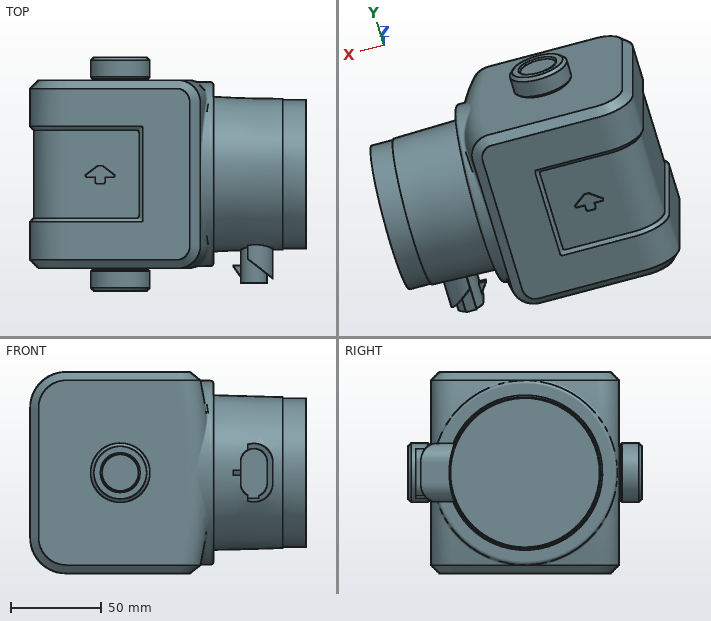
import cadquery as cq
import math


housing_width = 104.5
housing_height = 112.0
housing_half_width = housing_width / 2
housing_half_height = housing_height / 2
housing_length = 100.1
dome_radius = 242.2
rear_corner_radius = 20.1
front_corner_radius = 12.4
rim_chamfer = 4.8
flange_radius = 51.2
flange_end = 102.0
flange_rounding = 1.8
flange_root_radius = 1.2

band_depth = 2.0
band_slope = 2.1
band_floor_half_width = 24.4
band_floor_end = 60.5
band_corner_radius = 1.8
arrow_center_x = 39.0
arrow_height = 0.8
arrow_nose_half_width = 1.2
arrow_half_width = 8.3
arrow_stem_half_width = 2.8
arrow_wing_bevel = 0.6
arrow_tail_bevel = 0.8
arrow_tip_y = 4.8
arrow_wing_y = -0.6
arrow_shoulder_y = -1.7
arrow_tail_y = -5.4

neck_root_radius = 43.1
neck_tip_radius = 42.0
neck_end = 140.4
cap_radius = 41.4
overall_length = 153.3
latch_x = 124.3
latch_width = 14.7
latch_height = 26.7
latch_reach = 60.5
latch_root = 36.8
collar_side_thickness = 3.2
collar_end_thickness = 2.9
collar_rear_offset = 3.4
collar_rear = latch_x - collar_rear_offset
collar_low_reach = 47.0
collar_high_reach = 58.0
foot_length = 6.1
foot_drop = 0.9
barb_thickness = 2.9
barb_length = 4.1
barb_near = 50.6
barb_far = 57.0
barb_tip_land = 0.6

knob_x = 50.1
knob_diameter = 33.0
knob_radius = knob_diameter / 2
knob_gap = 0.8
knob_end = 65.0
knob_stem_radius = 14.4
knob_outer_chamfer = 1.8
knob_inner_chamfer = 0.9
dish_radius = 11.0
dish_floor_radius = 10.1
dish_depth = 0.9


def is_rim_edge(edge):
    """True for the edges that border the two Y faces and the front of the top and bottom."""
    center = edge.Center()
    on_front = center.x > housing_length - 2 * front_corner_radius
    on_middle = abs(center.y) < housing_half_width / 2
    if on_front:
        return abs(center.z) > housing_half_height / 2
    return not on_middle


def housing_block():
    """Rounded block whose front is a shallow dome curved about Y, with a chamfered rim."""
    h = housing_half_height
    r = rear_corner_radius
    diagonal = r * (1 - math.sqrt(0.5))
    dome_edge_x = housing_length - dome_radius + math.sqrt(dome_radius**2 - h**2)
    block = (
        cq.Workplane("XZ", origin=(0, housing_half_width, 0))
        .moveTo(0, h - r)
        .threePointArc((diagonal, h - diagonal), (r, h))
        .lineTo(dome_edge_x, h)
        .threePointArc((housing_length, 0), (dome_edge_x, -h))
        .lineTo(r, -h)
        .threePointArc((diagonal, diagonal - h), (0, r - h))
        .close()
        .extrude(2 * housing_half_width)
    )
    block = block.faces("|Y").edges(">X").fillet(front_corner_radius)

    rim = [edge for edge in block.edges().vals() if is_rim_edge(edge)]
    return cq.Workplane(block.val().chamfer(rim_chamfer, None, rim))


def outline_with_inset(inset):
    """Rounded XZ rectangle set in from the housing; its front end lies beyond the housing."""
    height = 2 * (housing_half_height - inset)
    length = 2 * housing_length
    return (
        cq.Sketch()
        .push([(inset + length / 2, 0)])
        .rect(length, height)
        .reset()
        .vertices()
        .fillet(rear_corner_radius - inset)
    )


def xz_plane(y):
    """XZ plane at the given Y that faces -Y, with its own x along +X."""
    return cq.Plane(origin=(0, y, 0), xDir=(1, 0, 0), normal=(0, -1, 0))


def band_core():
    """Material left under the band: a straight core that flares out to the surface on both sides."""
    floor = outline_with_inset(band_depth)
    surface = outline_with_inset(0)
    core = (
        cq.Workplane(xz_plane(band_floor_half_width))
        .placeSketch(floor)
        .extrude(2 * band_floor_half_width)
    )
    flare = (
        cq.Workplane(xz_plane(-band_floor_half_width))
        .placeSketch(floor, surface.moved(cq.Location(cq.Vector(0, 0, band_slope))))
        .loft()
    )
    return core.union(flare).union(flare.mirror("XZ"))


def band_cutter():
    """Shallow recess around the rear of the housing with sloping borders."""
    half_width = band_floor_half_width + band_slope
    floor_z = housing_half_height - band_depth
    top_z = housing_half_height
    rear_x = -band_depth
    surface_end = band_floor_end + band_slope
    cutter = (
        cq.Workplane("XZ", origin=(0, half_width, 0))
        .polyline([
            (rear_x, top_z),
            (surface_end, top_z),
            (band_floor_end, floor_z),
            (band_floor_end, -floor_z),
            (surface_end, -top_z),
            (rear_x, -top_z),
        ])
        .close()
        .extrude(2 * half_width)
    )
    cutter = cutter.cut(band_core())
    corner_edges = cq.selectors.BoxSelector(
        (band_floor_end - band_slope, -2 * half_width, -2 * top_z),
        (surface_end + band_slope, 2 * half_width, 2 * top_z),
    )
    return cutter.edges(corner_edges).edges("not (|X or |Y)").fillet(band_corner_radius)


def arrow():
    """Raised arrow that points to +Y, standing on the band floor."""
    right_side = [
        (arrow_nose_half_width, arrow_tip_y),
        (arrow_half_width, arrow_wing_y),
        (arrow_half_width - arrow_wing_bevel, arrow_shoulder_y),
        (arrow_stem_half_width, arrow_shoulder_y),
        (arrow_stem_half_width, arrow_tail_y + arrow_tail_bevel),
        (arrow_stem_half_width - arrow_tail_bevel, arrow_tail_y),
    ]
    points = right_side + [(-x, y) for x, y in reversed(right_side)]
    return (
        cq.Workplane("XY", origin=(arrow_center_x, 0, housing_half_height - band_depth))
        .polyline(points)
        .close()
        .extrude(arrow_height)
    )


def front_flange():
    """Round flange that grows out of the domed front."""
    start = housing_length / 2
    return (
        cq.Workplane("YZ", origin=(start, 0, 0))
        .circle(flange_radius)
        .extrude(flange_end - start)
        .faces(">X")
        .edges()
        .fillet(flange_rounding)
    )


def is_flange_root(edge):
    """True for edges on the flange surface where it meets the domed front."""
    tolerance = 0.02
    points = [edge.positionAt(fraction) for fraction in (0, 0.3, 0.7, 1)]
    on_flange = all(abs(math.hypot(p.y, p.z) - flange_radius) < tolerance for p in points)
    behind_rounding = all(p.x < flange_end - flange_rounding - tolerance for p in points)
    at_front = all(p.x > housing_length - front_corner_radius for p in points)
    return on_flange and behind_rounding and at_front


def make_housing():
    """Block and flange with a rounded joint, the band recess and an arrow on top and bottom."""
    body = housing_block().union(front_flange())
    root = [edge for edge in body.edges().vals() if is_flange_root(edge)]
    body = cq.Workplane(body.val().fillet(flange_root_radius, root))
    top_arrow = arrow()
    return (
        body
        .cut(band_cutter())
        .union(top_arrow)
        .union(top_arrow.mirror("XY"))
    )


def rounded_pillar(width, height):
    """Pillar with an upright slot-shaped section that stands along -Y on the neck."""
    return (
        cq.Workplane(xz_plane(-latch_root))
        .center(latch_x, 0)
        .slot2D(height, width, 90)
        .extrude(latch_reach - latch_root)
    )


def latch():
    """Upright rounded pad on the -Y side of the neck, with a slanted collar, a foot and a barb."""
    pad = rounded_pillar(latch_width, latch_height)
    collar_width = latch_width + 2 * collar_side_thickness
    collar_height = latch_height + 2 * collar_end_thickness
    collar_front = latch_x + collar_width / 2
    collar = rounded_pillar(collar_width, collar_height)
    collar_side = (
        cq.Workplane("XY", origin=(0, 0, -latch_height))
        .polyline([
            (collar_rear, -latch_root),
            (collar_rear, -collar_low_reach),
            (collar_front, -collar_high_reach),
            (collar_front, -latch_root),
        ])
        .close()
        .extrude(2 * latch_height)
    )
    foot_height = latch_height / 2 + foot_drop
    foot = (
        cq.Workplane("XY")
        .box(foot_length, latch_reach - latch_root, foot_height, centered=(False, False, False))
        .translate((collar_rear, -latch_reach, -foot_height))
    )
    barb_root = latch_x - latch_width / 2
    barb = (
        cq.Workplane("XY", origin=(0, 0, -barb_thickness / 2))
        .polyline([
            (latch_x, -barb_near),
            (barb_root - barb_length, -barb_near),
            (barb_root - barb_length, -barb_near - barb_tip_land),
            (barb_root, -barb_far),
            (latch_x, -barb_far),
        ])
        .close()
        .extrude(barb_thickness)
    )
    return pad.union(collar.intersect(collar_side)).union(foot).union(barb)


def make_neck():
    """Slightly tapered round neck in front of the flange, with its latch."""
    taper = (
        cq.Workplane("XZ")
        .polyline([
            (flange_end, 0),
            (flange_end, neck_root_radius),
            (neck_end, neck_tip_radius),
            (neck_end, 0),
        ])
        .close()
        .revolve(360, (0, 0, 0), (1, 0, 0))
    )
    return taper.union(latch())


def make_end_cap():
    """Plain round disc on the tip of the neck."""
    thickness = overall_length - neck_end
    return cq.Workplane("YZ", origin=(neck_end, 0, 0)).circle(cap_radius).extrude(thickness)


def make_knob(side):
    """Dished round knob on a short stem against the Y face given by side (1 or -1)."""
    inner_y = housing_half_width + knob_gap
    profile = [
        (0, housing_half_width),
        (knob_stem_radius, housing_half_width),
        (knob_stem_radius, inner_y),
        (knob_radius - knob_inner_chamfer, inner_y),
        (knob_radius, inner_y + knob_inner_chamfer),
        (knob_radius, knob_end - knob_outer_chamfer),
        (knob_radius - knob_outer_chamfer, knob_end),
        (dish_radius, knob_end),
        (dish_floor_radius, knob_end - dish_depth),
        (0, knob_end - dish_depth),
    ]
    return (
        cq.Workplane("XY")
        .polyline([(radius, side * y) for radius, y in profile])
        .close()
        .revolve(360, (0, 0, 0), (0, 1, 0))
        .translate((knob_x, 0, 0))
    )


housing = make_housing()
neck = make_neck()
end_cap = make_end_cap()
knobs = [make_knob(side) for side in (-1, 1)]

result = cq.Compound.makeCompound([
    housing.val(),
    neck.val(),
    end_cap.val(),
    *[knob.val() for knob in knobs],
])